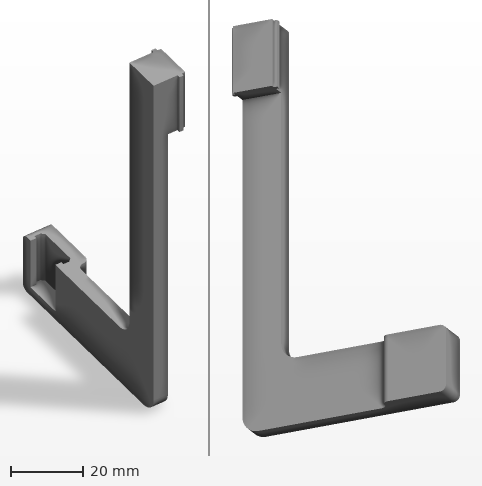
import cadquery as cq

body_length = 65.0
height = 120.0
foot_height = 20.0
upright_width = 12.0
arm_thickness = 4.8
elbow_radius = 5.0
tip_radius = 2.0

pad_length = 20.0
pad_blend_radius = 2.0
pad_thickness = arm_thickness + 2 * pad_blend_radius

pocket_center_x = pad_length / 2
pocket_floor_z = 3.0
mouth_width = 12.4
lip_thickness = 2.0
pocket_undercut = 1.0
cavity_width = mouth_width + 2 * pocket_undercut
pocket_depth = 5.0
pocket_chamfer = pocket_undercut

head_depth = 10.6
head_height = 20.0
rail_projection = 1.0
rail_thickness = 1.4
rail_setback = 1.2

upright_x = body_length - upright_width
head_bottom_z = height - head_height


def box(x_start, y_start, z_start, x_size, y_size, z_size):
    """Box placed by its lowest corner."""
    solid = cq.Workplane("XY").box(x_size, y_size, z_size, centered=False)
    return solid.translate((x_start, y_start, z_start))


def make_arms():
    """Foot and upright with a rounded elbow, inside and outside."""
    foot = box(0, 0, 0, body_length, arm_thickness, foot_height)
    upright = box(upright_x, 0, 0, upright_width, arm_thickness, height)
    arms = foot.union(upright)
    inner_elbow = cq.selectors.NearestToPointSelector((upright_x, arm_thickness / 2, foot_height))
    outer_elbow = cq.selectors.NearestToPointSelector((body_length, arm_thickness / 2, 0))
    return arms.edges("|Y").edges(inner_elbow + outer_elbow).fillet(elbow_radius)


def make_pad():
    """Thick foot tip whose back steps down to the arm through an S-curve."""
    crest_x = pad_length - pad_blend_radius
    root_x = pad_length + pad_blend_radius
    middle_y = arm_thickness + pad_blend_radius
    return (
        cq.Workplane("XY")
        .lineTo(0, pad_thickness)
        .lineTo(crest_x, pad_thickness)
        .radiusArc((pad_length, middle_y), pad_blend_radius)
        .radiusArc((root_x, arm_thickness), -pad_blend_radius)
        .lineTo(root_x, 0)
        .close()
        .extrude(foot_height)
    )


def make_foot_and_upright():
    """Arms and pad together, with the two tip corners rounded."""
    return make_arms().union(make_pad()).faces("<X").edges("|Y").fillet(tip_radius)


def make_pocket():
    """Narrow mouth at the front leading to a wider cavity with chamfered inner corners."""
    pocket_height = foot_height - pocket_floor_z
    mouth = box(
        pocket_center_x - mouth_width / 2, 0, pocket_floor_z,
        mouth_width, lip_thickness, pocket_height,
    )
    cavity = box(
        pocket_center_x - cavity_width / 2, lip_thickness, pocket_floor_z,
        cavity_width, pocket_depth - lip_thickness, pocket_height,
    )
    cavity = cavity.faces(">Y").edges("|Z").chamfer(pocket_chamfer)
    return mouth.union(cavity)


def make_head():
    """Head block crossed by one bar that forms the rails on both sides."""
    block = box(upright_x, 0, head_bottom_z, upright_width, head_depth, head_height)
    rails = box(
        upright_x - rail_projection, head_depth - rail_setback - rail_thickness, head_bottom_z,
        upright_width + 2 * rail_projection, rail_thickness, head_height,
    )
    return block.union(rails)


result = make_foot_and_upright().cut(make_pocket()).union(make_head())